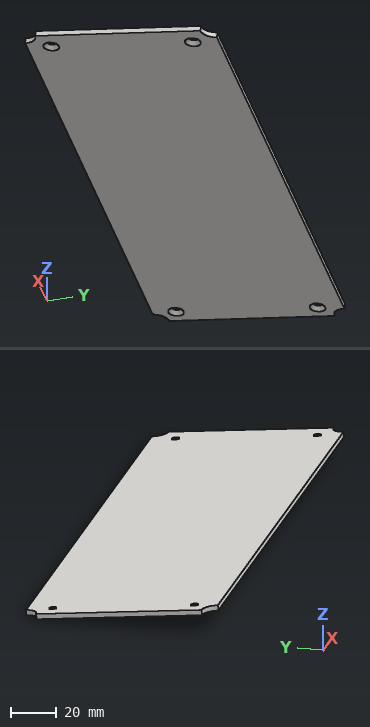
import cadquery as cq

length = 249.4
width = 86.5
thickness = 2.5
tilt_angle = 6.0

notch_radius = 6.0

hole_diameter = 3.2
head_diameter = 7.0
countersink_angle = 90.0
hole_spacing_x = 232.0
hole_spacing_y = 63.8
hole_offset_x = -1.0
hole_offset_y = -0.37


def make_plate():
    """Flat plate with its corners scooped out."""
    plate = cq.Workplane("XY").box(length, width, thickness)
    notches = (
        cq.Workplane("XY")
        .rect(length, width, forConstruction=True)
        .vertices()
        .circle(notch_radius)
        .extrude(thickness, both=True)
    )
    return plate.cut(notches)


def drill_screw_holes(plate):
    """Through holes in a rectangle, countersunk from the underside."""
    return (
        plate.faces("<Z")
        .workplane(origin=(hole_offset_x, hole_offset_y, 0))
        .rect(hole_spacing_x, hole_spacing_y, forConstruction=True)
        .vertices()
        .cskHole(hole_diameter, head_diameter, countersink_angle)
    )


flat_plate = drill_screw_holes(make_plate())
result = flat_plate.rotate((0, 0, 0), (1, 0, 0), -tilt_angle)